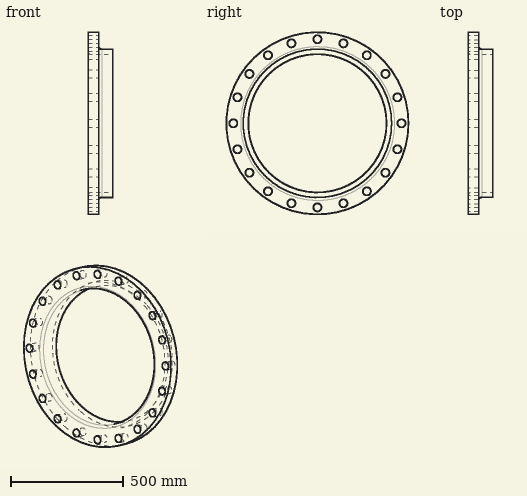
import cadquery as cq

outer_radius = 813.0 / 2
flange_thickness = 48.0
overall_length = 111.0
hub_radius = 662.0 / 2
bore_radius = 615.0 / 2
mouth_round = 12.0
root_fillet = 12.0

bolt_count = 20
bolt_circle_radius = 749.0 / 2
bolt_hole_diameter = 35.0


def ring_body():
    """Revolve the half section, drawn with X along the axis and Y as radius."""
    return (
        cq.Workplane("XY")
        .moveTo(0, bore_radius + mouth_round)
        .lineTo(0, outer_radius)
        .lineTo(flange_thickness, outer_radius)
        .lineTo(flange_thickness, hub_radius + root_fillet)
        .radiusArc((flange_thickness + root_fillet, hub_radius), -root_fillet)
        .lineTo(overall_length, hub_radius)
        .lineTo(overall_length, bore_radius)
        .lineTo(mouth_round, bore_radius)
        .radiusArc((0, bore_radius + mouth_round), mouth_round)
        .close()
        .revolve(360, (0, 0, 0), (1, 0, 0))
    )


def bolt_holes():
    """Through holes spaced evenly around the flange."""
    return (
        cq.Workplane("YZ")
        .polarArray(bolt_circle_radius, 0, 360, bolt_count)
        .circle(bolt_hole_diameter / 2)
        .extrude(flange_thickness)
    )


result = ring_body().cut(bolt_holes())